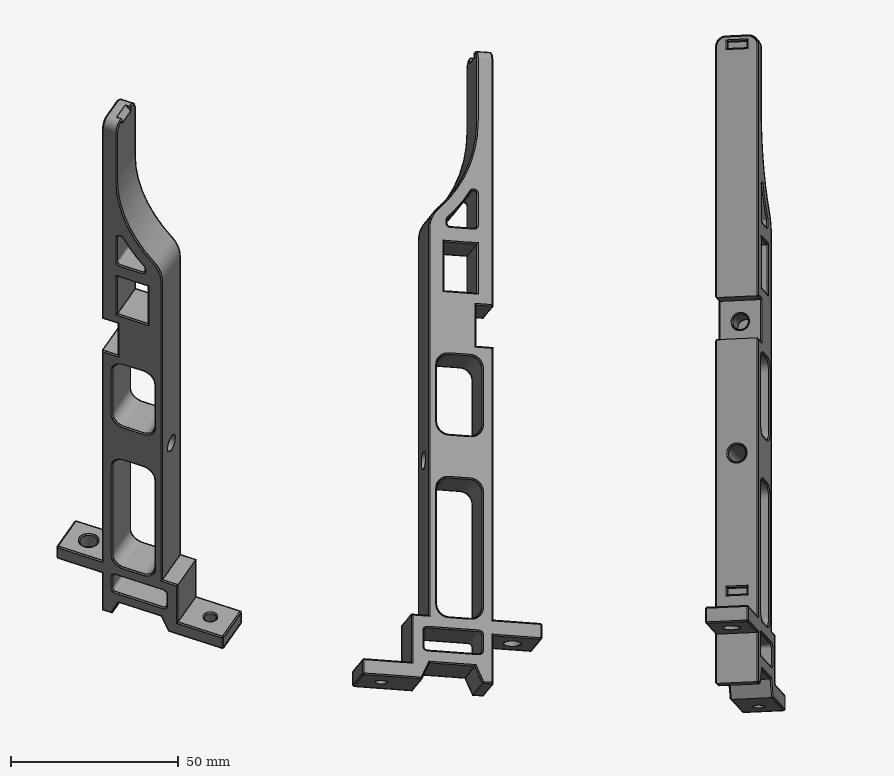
import cadquery as cq

height = 198.0
length = 55.0
depth = 13.0
mid_y = depth / 2
edge_chamfer = 0.4

spine_left = 15.0
spine_right = 34.8
arm_right = 20.0
arm_base_z = 175.5
shoulder_radius = 38.6
shoulder_fillet = 9.0
top_corner_radius = 3.2

foot_right = 40.0
foot_top = 20.0
tab_thickness = 5.0
relief_height = 5.1
relief_top_left = 20.5
relief_top_right = 34.5
relief_slope_run = 2.4

window_left = 18.5
window_right = 32.3
window_radius = 3.8
window_spans = [(foot_top, 63.4), (77.0, 102.0)]
foot_slot_right = 36.2
foot_slot_span = (9.1, 16.0)
foot_slot_radius = 1.2
upper_window_right = 30.0
upper_window_span = (121.8, 137.0)
gusset_window_base = 142.0
gusset_window_right = 29.1
gusset_wall = 4.4
gusset_corner_radius = 1.0

notch_span = (105.1, 118.0)
notch_floor = 20.2

left_tab_hole = 5.3
left_tab_hole_x = 7.5
right_tab_hole = 3.5
right_tab_hole_x = 47.7
notch_hole = 4.8
notch_hole_depth = 8.0
cross_hole = 5.3

socket_width = 6.0
socket_height = 2.2
socket_depth = 1.5
socket_heights = [28.1, 195.2]

ramp_size = 1.8


def box(x_span, z_span):
    """Block over the full depth, given its X and Z limits."""
    x0, x1 = x_span
    z0, z1 = z_span
    return cq.Workplane("XY").box(x1 - x0, depth, z1 - z0, centered=False).translate((x0, 0, z0))


def prism(points, width):
    """Polygon of X, Z points, given a width along Y centred on the part."""
    outline = cq.Workplane("XZ", origin=(0, mid_y, 0)).polyline(points).close()
    return outline.extrude(width / 2, both=True)


def window(x_span, z_span, radius):
    """Rounded rectangular cutter through the depth."""
    return box(x_span, z_span).edges("|Y").fillet(radius)


def shoulder_cylinder(radius):
    """Cylinder along Y about the centre of the shoulder curve."""
    centre = (arm_right + shoulder_radius, 0, arm_base_z)
    return cq.Workplane("XZ", origin=centre).circle(radius).extrude(-depth)


def make_spine():
    """Upright whose right side sweeps in to the slim arm and is eased at the shoulder."""
    spine = box((spine_left, spine_right), (0, height))
    spine = spine.cut(box((arm_right, spine_right), (arm_base_z, height)))
    spine = spine.cut(shoulder_cylinder(shoulder_radius))
    shoulder_zone = cq.selectors.BoxSelector(
        (arm_right, -depth, foot_top), (length, 2 * depth, arm_base_z)
    )
    spine = spine.edges("|Y").edges(">X").edges(shoulder_zone).fillet(shoulder_fillet)
    return spine.faces(">Z").edges("|X").fillet(top_corner_radius)


def make_foot():
    """Block under the spine with a high left tab and a low right tab."""
    foot = box((spine_left, foot_right), (0, foot_top))
    foot = foot.union(box((0, spine_left), (foot_top - tab_thickness, foot_top)))
    return foot.union(box((foot_right, length), (0, tab_thickness)))


def relief_cutter():
    """Trapezoidal channel across the underside, wider at the bottom."""
    outline = [
        (relief_top_left - relief_slope_run, 0),
        (relief_top_left, relief_height),
        (relief_top_right, relief_height),
        (relief_top_right + relief_slope_run, 0),
    ]
    return prism(outline, depth)


def gusset_window():
    """Triangular cutter whose sloping side is concentric with the shoulder."""
    cutter = box((arm_right, gusset_window_right), (gusset_window_base, arm_base_z))
    cutter = cutter.cut(shoulder_cylinder(shoulder_radius + gusset_wall))
    return cutter.edges("|Y").fillet(gusset_corner_radius)


def make_frame():
    """Outline with its windows and notch; edges of the front, back and tab end faces are chamfered."""
    frame = make_spine().union(make_foot()).cut(relief_cutter())
    for span in window_spans:
        frame = frame.cut(window((window_left, window_right), span, window_radius))
    frame = frame.cut(window((window_left, foot_slot_right), foot_slot_span, foot_slot_radius))
    frame = frame.cut(box((arm_right, upper_window_right), upper_window_span))
    frame = frame.cut(gusset_window())
    frame = frame.cut(box((spine_left, notch_floor), notch_span))
    return frame.faces("<Y or >Y or <X or >X").edges().chamfer(edge_chamfer)


def hole(plane, diameter, hole_depth):
    """Round cutter along the plane's normal, countersunk where it enters."""
    mouth = cq.Workplane(plane).circle(diameter / 2 + edge_chamfer)
    countersink = mouth.extrude(edge_chamfer, taper=45)
    return cq.Workplane(plane).circle(diameter / 2).extrude(hole_depth).union(countersink)


def tab_hole(diameter, x, z_top):
    """Vertical cutter through a tab whose top is at z_top."""
    downward = cq.Plane(origin=(x, mid_y, z_top), xDir=(1, 0, 0), normal=(0, 0, -1))
    return hole(downward, diameter, tab_thickness)


def side_hole(diameter, x_start, z, hole_depth):
    """Cutter running along +X at mid depth."""
    plane = cq.Plane(origin=(x_start, mid_y, z), xDir=(0, 1, 0), normal=(1, 0, 0))
    return hole(plane, diameter, hole_depth)


def socket(z):
    """Shallow rectangular recess with a bevelled rim, centred at height z."""
    plane = cq.Plane(origin=(spine_left, mid_y, z), xDir=(0, 1, 0), normal=(1, 0, 0))
    rim_width = socket_width + 2 * edge_chamfer
    rim_height = socket_height + 2 * edge_chamfer
    rim = cq.Workplane(plane).rect(rim_width, rim_height).extrude(edge_chamfer, taper=45)
    return cq.Workplane(plane).rect(socket_width, socket_height).extrude(socket_depth).union(rim)


def tip_ramp():
    """Sloping cut on the back top edge of the arm, as wide as the sockets."""
    triangle = [(arm_right - ramp_size, height), (arm_right, height), (arm_right, height - ramp_size)]
    return prism(triangle, socket_width)


result = make_frame()
result = result.cut(tab_hole(left_tab_hole, left_tab_hole_x, foot_top))
result = result.cut(tab_hole(right_tab_hole, right_tab_hole_x, tab_thickness))
result = result.cut(side_hole(notch_hole, notch_floor, sum(notch_span) / 2, notch_hole_depth))
cross_hole_z = (window_spans[0][1] + window_spans[1][0]) / 2
result = result.cut(side_hole(cross_hole, spine_left, cross_hole_z, spine_right - spine_left))
for socket_z in socket_heights:
    result = result.cut(socket(socket_z))
result = result.cut(tip_ramp())